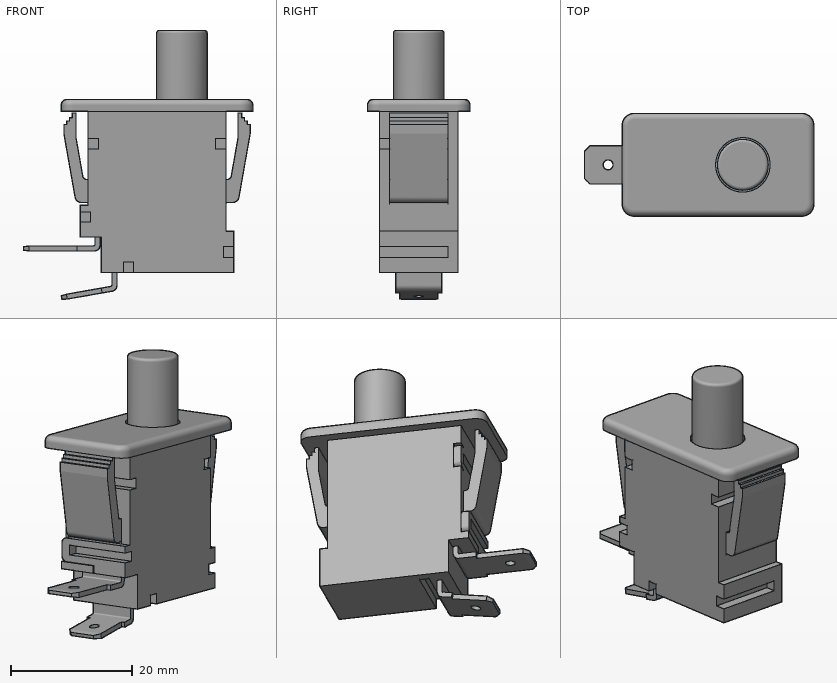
import cadquery as cq
import math


BEZEL_LENGTH = 31.7
BEZEL_WIDTH = 17.0
BEZEL_THICKNESS = 2.0
BEZEL_CORNER_RADIUS = 2.0
BEZEL_EDGE_RADIUS = 1.0

PLUNGER_X = 4.1
PLUNGER_DIAMETER = 8.4
PLUNGER_TOP_Z = 13.4
PLUNGER_EDGE_RADIUS = 0.5
PLUNGER_HOLE_DIAMETER = 9.0

BODY_HALF_LENGTH = 11.4
BODY_WIDTH = 13.0
BODY_BOTTOM_Z = -26.6
LEDGE_PROJECTION = 1.3
LEFT_LEDGE_TOP_Z = -15.45
LEFT_LEDGE_BOTTOM_Z = -20.75
LOWER_LEFT_X = -9.25
RIGHT_LEDGE_TOP_Z = -19.75
BODY_HALF_WIDTH = BODY_WIDTH / 2
LEDGE_X = BODY_HALF_LENGTH + LEDGE_PROJECTION

NOTCH_SIZE = 1.75
NARROW_NOTCH_SIZE = 1.65
NOTCH_END_Y = 4.8
UPPER_NOTCH_Z = -5.3
LEFT_LEDGE_NOTCH_Z = -17.4
RIGHT_LEDGE_NOTCH_Z = -23.2
BOTTOM_NOTCH_X = -4.7

TAB_END_Y = 6.4
TAB_CORNER_RADIUS = 0.9
TAB_CLEARANCE = 0.08
UPPER_TAB_TOP_Z = -3.25
UPPER_TAB_BOTTOM_Z = -7.35
LOWER_TAB_BOTTOM_Z = -19.5
SEAM_GAP = 0.2

ARM_WIDTH = 9.6
ARM_ANGLE = math.radians(10)
ARM_TIP_Z = -0.25
ARM_INNER_X = 13.35
ARM_TIP_X = 14.0
ARM_OUTER_X = 15.4
ARM_STEPS = 3
ARM_FIRST_STEP_Z = -1.0
ARM_STEP_HEIGHT = 0.57
ARM_OUTER_SLOPE_Z = -3.65
ARM_INNER_SLOPE_Z = -4.4
ARM_ROOT_TOP_Z = -11.2
ARM_BOTTOM_Z = -15.05
ARM_OUTER_RADIUS = 1.05
ARM_INNER_RADIUS = 0.6
ARM_ROOT_RADIUS = 0.2

STRIP_THICKNESS = 0.85
BEND_RADIUS = 0.95
INNER_BEND_RADIUS = 0.25
BLADE_WIDTH = 6.35
HOLE_DIAMETER = 1.6
TIP_LENGTH = 0.9
TIP_BEVEL = 0.13
STEM_EMBEDDING = 1.0


def box(x_range, y_range, z_range):
    """Axis-aligned block between pairs of limits."""
    sizes = [end - start for start, end in (x_range, y_range, z_range)]
    corner = (x_range[0], y_range[0], z_range[0])
    return cq.Workplane("XY").box(*sizes, centered=False).translate(corner)


def extrude_side_profile(points, width):
    """Extrude an XZ outline symmetrically about the Y = 0 plane."""
    return cq.Workplane("XZ").polyline(points).close().extrude(width / 2, both=True)


def fillet_edge_at(solid, x, z, radius):
    """Round the Y-parallel edge that crosses the Y = 0 plane at (x, z)."""
    nearest = cq.selectors.NearestToPointSelector((x, 0, z))
    return solid.edges("|Y").edges(nearest).fillet(radius)


def make_bezel():
    plate = cq.Workplane("XY").rect(BEZEL_LENGTH, BEZEL_WIDTH).extrude(BEZEL_THICKNESS)
    plate = plate.edges("|Z").fillet(BEZEL_CORNER_RADIUS)
    plate = plate.faces(">Z").edges().fillet(BEZEL_EDGE_RADIUS)
    hole = cq.Workplane("XY").center(PLUNGER_X, 0).circle(PLUNGER_HOLE_DIAMETER / 2)
    return plate.cut(hole.extrude(BEZEL_THICKNESS))


def make_plunger():
    plunger = cq.Workplane("XY").center(PLUNGER_X, 0).circle(PLUNGER_DIAMETER / 2)
    return plunger.extrude(PLUNGER_TOP_Z).faces(">Z").edges().fillet(PLUNGER_EDGE_RADIUS)


def make_notch(x, z, width, height):
    """Notch cutter centred at (x, z)."""
    return box(
        (x - width / 2, x + width / 2),
        (-BODY_HALF_WIDTH, NOTCH_END_Y),
        (z - height / 2, z + height / 2),
    )


def cut_notches(body):
    inset = NOTCH_SIZE / 2
    notches = [
        (-BODY_HALF_LENGTH + inset, UPPER_NOTCH_Z, NOTCH_SIZE, NOTCH_SIZE),
        (BODY_HALF_LENGTH - inset, UPPER_NOTCH_Z, NOTCH_SIZE, NOTCH_SIZE),
        (-LEDGE_X + inset, LEFT_LEDGE_NOTCH_Z, NOTCH_SIZE, NARROW_NOTCH_SIZE),
        (LEDGE_X - inset, RIGHT_LEDGE_NOTCH_Z, NOTCH_SIZE, NOTCH_SIZE),
        (BOTTOM_NOTCH_X, BODY_BOTTOM_Z + inset, NARROW_NOTCH_SIZE, NOTCH_SIZE),
    ]
    for notch in notches:
        body = body.cut(make_notch(*notch))
    return body


def make_tab(outer_x, top_z, bottom_z):
    """Latch tab on the +Y half, with rounded corners at its free end."""
    tab = box((outer_x, outer_x + LEDGE_PROJECTION), (0, TAB_END_Y), (bottom_z, top_z))
    return tab.faces(">Y").edges("|X").fillet(TAB_CORNER_RADIUS)


def shape_upper_tab(body):
    """Sink a pocket around the upper tab, leaving the tab flush with the end wall."""
    pocket = box(
        (-BODY_HALF_LENGTH, -BODY_HALF_LENGTH + LEDGE_PROJECTION),
        (NOTCH_END_Y, BODY_HALF_WIDTH),
        (UPPER_TAB_BOTTOM_Z - TAB_CLEARANCE, UPPER_TAB_TOP_Z + TAB_CLEARANCE),
    )
    return body.cut(pocket.cut(make_tab(-BODY_HALF_LENGTH, UPPER_TAB_TOP_Z, UPPER_TAB_BOTTOM_Z)))


def shape_lower_tab(body):
    """Round the +Y end of the left ledge and part it from the strip below it."""
    ledge_x_range = (-LEDGE_X, -BODY_HALF_LENGTH)
    surround = box(ledge_x_range, (0, BODY_HALF_WIDTH), (LOWER_TAB_BOTTOM_Z, LEFT_LEDGE_TOP_Z))
    surround = surround.cut(
        make_tab(-LEDGE_X, LEFT_LEDGE_TOP_Z, LOWER_TAB_BOTTOM_Z + TAB_CLEARANCE)
    )
    seam = box(
        ledge_x_range,
        (-SEAM_GAP / 2, SEAM_GAP / 2),
        (LEFT_LEDGE_BOTTOM_Z, LOWER_TAB_BOTTOM_Z),
    )
    return body.cut(surround).cut(seam)


def make_body():
    outline = [
        (-BODY_HALF_LENGTH, 0),
        (BODY_HALF_LENGTH, 0),
        (BODY_HALF_LENGTH, RIGHT_LEDGE_TOP_Z),
        (LEDGE_X, RIGHT_LEDGE_TOP_Z),
        (LEDGE_X, BODY_BOTTOM_Z),
        (LOWER_LEFT_X, BODY_BOTTOM_Z),
        (LOWER_LEFT_X, LEFT_LEDGE_BOTTOM_Z),
        (-LEDGE_X, LEFT_LEDGE_BOTTOM_Z),
        (-LEDGE_X, LEFT_LEDGE_TOP_Z),
        (-BODY_HALF_LENGTH, LEFT_LEDGE_TOP_Z),
    ]
    body = shape_lower_tab(shape_upper_tab(extrude_side_profile(outline, BODY_WIDTH)))
    return cut_notches(body)


def make_arm():
    """Spring arm at the +X end, with a stepped tip that grips the panel."""
    slope = math.tan(ARM_ANGLE)
    inner_root_x = ARM_INNER_X - (ARM_INNER_SLOPE_Z - ARM_ROOT_TOP_Z) * slope
    outer_root_x = ARM_OUTER_X - (ARM_OUTER_SLOPE_Z - ARM_BOTTOM_Z) * slope
    step_width = (ARM_OUTER_X - ARM_TIP_X) / ARM_STEPS

    outline = [
        (BODY_HALF_LENGTH, ARM_ROOT_TOP_Z),
        (inner_root_x, ARM_ROOT_TOP_Z),
        (ARM_INNER_X, ARM_INNER_SLOPE_Z),
        (ARM_INNER_X, ARM_TIP_Z),
        (ARM_TIP_X, ARM_TIP_Z),
    ]
    for step in range(ARM_STEPS):
        step_x = ARM_TIP_X + step * step_width
        step_z = ARM_FIRST_STEP_Z - step * ARM_STEP_HEIGHT
        outline.append((step_x, step_z))
        outline.append((step_x + step_width, step_z))
    outline += [
        (ARM_OUTER_X, ARM_OUTER_SLOPE_Z),
        (outer_root_x, ARM_BOTTOM_Z),
        (BODY_HALF_LENGTH, ARM_BOTTOM_Z),
    ]
    arm = extrude_side_profile(outline, ARM_WIDTH)
    arm = fillet_edge_at(arm, outer_root_x, ARM_BOTTOM_Z, ARM_OUTER_RADIUS)
    return fillet_edge_at(arm, inner_root_x, ARM_ROOT_TOP_Z, ARM_INNER_RADIUS)


def add_arms(body):
    """Join an arm to each end of the housing, easing the corner under its root."""
    right_arm = make_arm()
    body = body.union(right_arm).union(right_arm.mirror("YZ"))
    for root_x in (-BODY_HALF_LENGTH, BODY_HALF_LENGTH):
        body = fillet_edge_at(body, root_x, ARM_BOTTOM_Z, ARM_ROOT_RADIUS)
    return body


def make_blade(plane, length, hole_from_tip):
    """Flat blade lying on the plane, running along its x axis, with a bevelled tip."""
    half_width = BLADE_WIDTH / 2
    tip_start = length - TIP_LENGTH
    plan = [
        (0, -half_width),
        (tip_start, -half_width),
        (length, -half_width + TIP_LENGTH),
        (length, half_width - TIP_LENGTH),
        (tip_start, half_width),
        (0, half_width),
    ]
    blade = cq.Workplane(plane).polyline(plan).close().extrude(STRIP_THICKNESS)
    hole = cq.Workplane(plane).center(length - hole_from_tip, 0).circle(HOLE_DIAMETER / 2)
    blade = blade.cut(hole.extrude(STRIP_THICKNESS))

    edge_plane = cq.Plane(plane.origin, xDir=plane.xDir, normal=-plane.yDir)
    tapered_side = [
        (0, 0),
        (tip_start, 0),
        (length, TIP_BEVEL),
        (length, STRIP_THICKNESS - TIP_BEVEL),
        (tip_start, STRIP_THICKNESS),
        (0, STRIP_THICKNESS),
    ]
    envelope = cq.Workplane(edge_plane).polyline(tapered_side).close()
    return blade.intersect(envelope.extrude(half_width, both=True))


def make_terminal(
    bend_x, bend_z, exit_z, tilt_degrees, base_width, base_length, length, hole_from_tip
):
    """Bent strip terminal.

    (bend_x, bend_z) is the sharp outer corner of the bend and exit_z the housing face
    that the stem leaves. The blade drops by the tilt; both lengths start at the bend.
    """
    tilt = math.radians(tilt_degrees)
    along = cq.Vector(-math.cos(tilt), 0, -math.sin(tilt))
    upward = cq.Vector(-math.sin(tilt), 0, math.cos(tilt))
    bend = cq.Vector(bend_x, 0, bend_z)
    inner_setback = STRIP_THICKNESS * (1 - math.sin(tilt)) / math.cos(tilt)
    shoulder = bend + along * base_length
    stem_top_z = exit_z + STEM_EMBEDDING

    inner_bend = bend + upward * STRIP_THICKNESS + along * inner_setback
    outline = [bend, shoulder, shoulder + upward * STRIP_THICKNESS, inner_bend]
    outline.append(cq.Vector(bend_x - STRIP_THICKNESS, 0, stem_top_z))
    outline.append(cq.Vector(bend_x, 0, stem_top_z))
    base = extrude_side_profile([(point.x, point.z) for point in outline], base_width)
    base = fillet_edge_at(base, bend.x, bend.z, BEND_RADIUS)
    base = fillet_edge_at(base, inner_bend.x, inner_bend.z, INNER_BEND_RADIUS)

    blade_start = bend + along * BEND_RADIUS
    blade_plane = cq.Plane(blade_start, xDir=along, normal=upward)
    return base.union(make_blade(blade_plane, length - BEND_RADIUS, hole_from_tip))


def make_upper_terminal():
    return make_terminal(
        bend_x=-9.4,
        bend_z=-23.05,
        exit_z=LEFT_LEDGE_BOTTOM_Z,
        tilt_degrees=0,
        base_width=7.85,
        base_length=3.85,
        length=12.65,
        hole_from_tip=3.9,
    )


def make_lower_terminal():
    return make_terminal(
        bend_x=-6.6,
        bend_z=-29.55,
        exit_z=BODY_BOTTOM_Z,
        tilt_degrees=10,
        base_width=7.6,
        base_length=2.5,
        length=9.25,
        hole_from_tip=3.5,
    )


result = add_arms(make_body())
for feature in (make_bezel(), make_plunger(), make_upper_terminal(), make_lower_terminal()):
    result = result.union(feature)